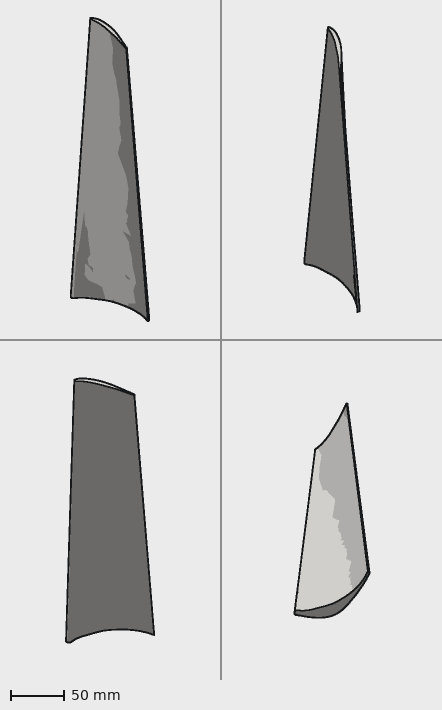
import cadquery as cq

BLADE_HEIGHT = 310.5

ROOT_SUCTION_SIDE = [(0.3, 22.5), (14.5, 31.0), (32.0, 35.7), (42.0, 33.5), (56.0, 25.8), (68.3, 16.8), (81.5, 4.7)]
ROOT_PRESSURE_SIDE = [(4.0, 18.3), (14.5, 22.0), (24.8, 23.0), (37.5, 23.3), (47.5, 21.5), (60.2, 17.0), (80.7, 2.2)]
ROOT_NOSE = (0.5, 19.0)

TIP_SUCTION_SIDE = [(14.3, 38.8), (20.2, 38.8), (27.5, 35.7), (37.3, 29.0), (48.0, 17.5), (54.3, 9.3), (61.0, 1.0)]
TIP_PRESSURE_SIDE = [(15.0, 36.5), (25.8, 31.5), (37.3, 22.7), (50.5, 10.2), (60.2, 0.0)]
TIP_NOSE = (14.0, 37.5)


def blade_section(suction_side, pressure_side, nose, height):
    """Closed aerofoil wire with a round leading edge and a blunt trailing edge."""
    return (
        cq.Workplane("XY", origin=(0, 0, height))
        .moveTo(*suction_side[0])
        .spline(suction_side[1:], includeCurrent=True)
        .lineTo(*pressure_side[-1])
        .spline(pressure_side[-2::-1], includeCurrent=True)
        .threePointArc(nose, suction_side[0])
        .wire()
        .val()
    )


root = blade_section(ROOT_SUCTION_SIDE, ROOT_PRESSURE_SIDE, ROOT_NOSE, 0)
tip = blade_section(TIP_SUCTION_SIDE, TIP_PRESSURE_SIDE, TIP_NOSE, BLADE_HEIGHT)
result = cq.Workplane(cq.Solid.makeLoft([root, tip], True))